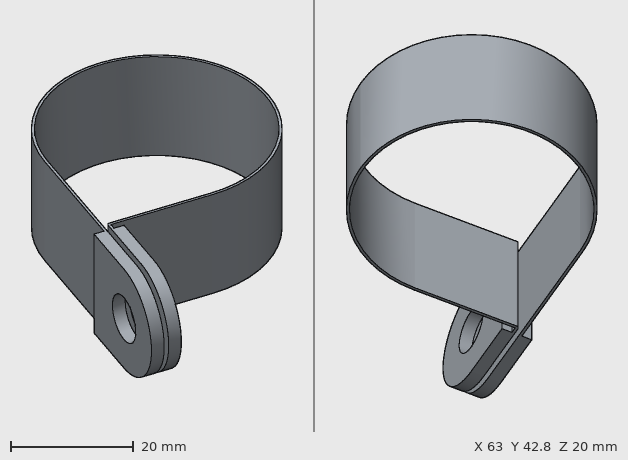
import cadquery as cq

loop_radius = 20.5
strap = 0.5
width = 20.0
pad_thickness = 2.3
pad_start = 21.6
pad_end = 42.5
pad_gap = 0.8
hole_diameter = 8.45
bend_radius = 0.5

inner_radius = loop_radius - strap
tip_radius = width / 2
hole_x = pad_end - tip_radius
lower_pad_top = -inner_radius
upper_pad_bottom = lower_pad_top + pad_gap


def make_strap():
    """Three-quarter loop with two straight runs, one bent outward to the upper pad."""
    lower_overlap = pad_start + strap
    profile = (
        cq.Workplane("XY", origin=(0, 0, -tip_radius))
        .moveTo(lower_overlap, -loop_radius)
        .lineTo(0, -loop_radius)
        .threePointArc((-loop_radius, 0), (0, loop_radius))
        .radiusArc((loop_radius, 0), loop_radius)
        .lineTo(loop_radius, upper_pad_bottom + strap)
        .lineTo(lower_overlap, upper_pad_bottom + strap)
        .lineTo(lower_overlap, upper_pad_bottom)
        .lineTo(inner_radius + bend_radius, upper_pad_bottom)
        .radiusArc((inner_radius, upper_pad_bottom + bend_radius), bend_radius)
        .lineTo(inner_radius, 0)
        .radiusArc((0, inner_radius), -inner_radius)
        .threePointArc((-inner_radius, 0), (0, -inner_radius))
        .lineTo(lower_overlap, -inner_radius)
        .close()
    )
    return profile.extrude(width)


def make_pad(bottom_y):
    """Round-ended pad with a bolt hole, its lower face at bottom_y."""
    plane = cq.Workplane("XZ", origin=(0, bottom_y, 0))
    pad = (
        plane.moveTo(pad_start, -tip_radius)
        .lineTo(hole_x, -tip_radius)
        .threePointArc((pad_end, 0), (hole_x, tip_radius))
        .lineTo(pad_start, tip_radius)
        .close()
        .extrude(-pad_thickness)
    )
    hole = plane.center(hole_x, 0).circle(hole_diameter / 2).extrude(-pad_thickness)
    return pad.cut(hole)


result = make_strap()
for bottom_y in (lower_pad_top - pad_thickness, upper_pad_bottom):
    result = result.union(make_pad(bottom_y))